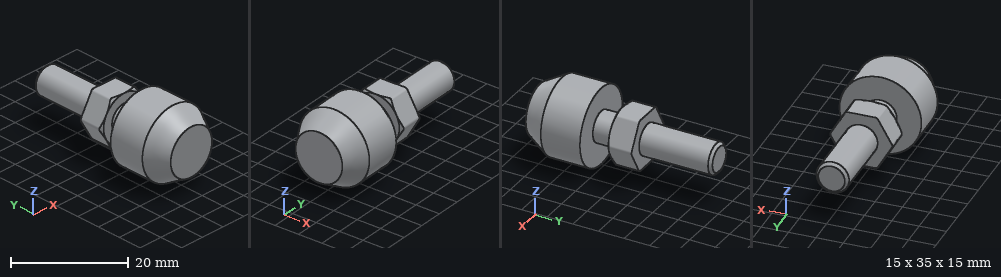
import cadquery as cq
import math

TOTAL_LENGTH = 35.0
PAD_DIAMETER = 15.0
FACE_DIAMETER = 10.0
PAD_LENGTH = 11.97
TAPER_ANGLE = 30.0
STUD_DIAMETER = 6.0
STUD_CHAMFER = 0.55

NUT_ACROSS_FLATS = 10.0
NUT_START = 16.15
NUT_LENGTH = 4.85
NUT_CORNER_RADIUS = 0.7
NUT_CHAMFER_ANGLE = 30.0

pad_radius = PAD_DIAMETER / 2
face_radius = FACE_DIAMETER / 2
stud_radius = STUD_DIAMETER / 2
taper_length = (pad_radius - face_radius) / math.tan(math.radians(TAPER_ANGLE))
nut_corner_diameter = NUT_ACROSS_FLATS / math.cos(math.radians(30))


def revolve_about_y(points):
    """Revolve a closed (radius, Y) outline about the Y axis."""
    return cq.Workplane("XY").polyline(points).close().revolve(360, (0, 0), (0, 1))


def make_bumper():
    """Tapered pad and chamfered stud in one piece."""
    return revolve_about_y([
        (0, 0),
        (face_radius, 0),
        (pad_radius, taper_length),
        (pad_radius, PAD_LENGTH),
        (stud_radius, PAD_LENGTH),
        (stud_radius, TOTAL_LENGTH - STUD_CHAMFER),
        (stud_radius - STUD_CHAMFER, TOTAL_LENGTH),
        (0, TOTAL_LENGTH),
    ])


def make_nut():
    """Rounded hexagon, bored for the stud and chamfered on the end facing the pad."""
    nut_end = NUT_START + NUT_LENGTH
    hexagon = (
        cq.Workplane("XZ", origin=(0, nut_end, 0))
        .polygon(6, nut_corner_diameter)
        .extrude(NUT_LENGTH)
        .edges("|Y")
        .fillet(NUT_CORNER_RADIUS)
    )
    inner_radius = NUT_ACROSS_FLATS / 2
    outer_radius = nut_corner_diameter / 2
    chamfer_length = (outer_radius - inner_radius) * math.tan(math.radians(NUT_CHAMFER_ANGLE))
    envelope = revolve_about_y([
        (stud_radius, NUT_START),
        (inner_radius, NUT_START),
        (outer_radius, NUT_START + chamfer_length),
        (outer_radius, nut_end),
        (stud_radius, nut_end),
    ])
    return hexagon.intersect(envelope)


bumper = make_bumper()
nut = make_nut()
result = cq.Compound.makeCompound([bumper.val(), *nut.solids().vals()])